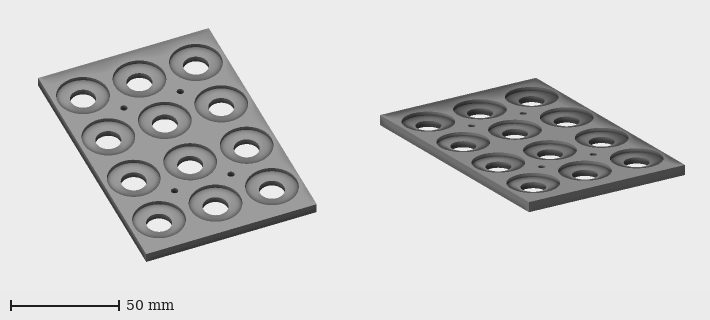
import cadquery as cq

plate_length = 127.76
plate_width = 85.48
plate_thickness = 5.0

well_columns = 4
well_rows = 3
well_pitch_x = 30.0
well_pitch_y = 28.3
well_diameter = 24.8
well_depth = 2.0
window_diameter = 12.0

screw_hole_diameter = 3.4
screw_columns = 2
screw_rows = 2
screw_spacing_x = 2 * well_pitch_x
screw_spacing_y = well_pitch_y


def make_plate():
    """Flat plate centred on the Z axis, with its underside at Z = 0."""
    return cq.Workplane("XY").box(
        plate_length, plate_width, plate_thickness, centered=(True, True, False)
    )


def cut_wells(plate):
    """Cut the round wells in the top face, each with a through window in its floor."""
    return (
        plate.faces(">Z")
        .workplane(origin=(0, 0, plate_thickness))
        .rarray(well_pitch_x, well_pitch_y, well_columns, well_rows)
        .cboreHole(window_diameter, well_diameter, well_depth)
    )


def cut_screw_holes(plate):
    """Drill the four plain through holes between the wells."""
    return (
        plate.faces(">Z")
        .workplane(origin=(0, 0, plate_thickness))
        .rarray(screw_spacing_x, screw_spacing_y, screw_columns, screw_rows)
        .hole(screw_hole_diameter)
    )


result = cut_screw_holes(cut_wells(make_plate()))